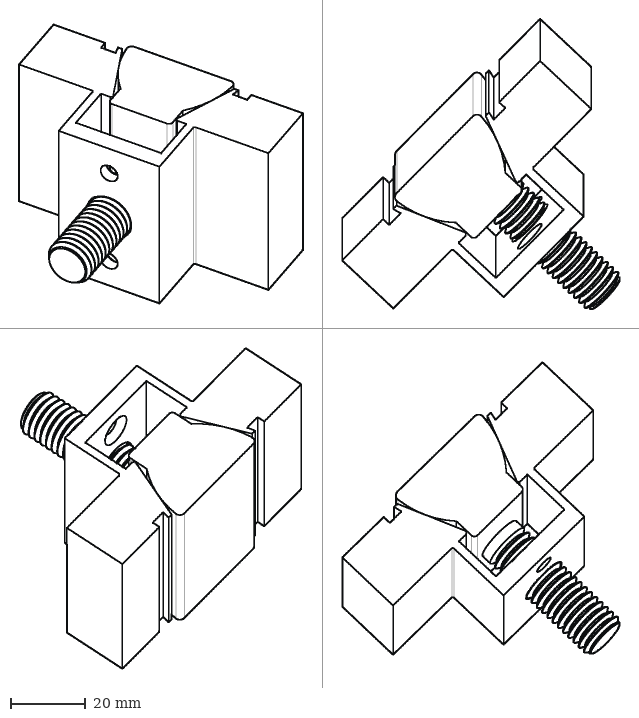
import cadquery as cq
import math


width = 76.2
height = 47.6
depth = 63.5

bracket_depth = 38.1
wing_depth = 19.05
channel_outer_width = 30.8
channel_inner_width = 26.05
plate_thickness = 5.2
jaw_mouth_width = 34.3
jaw_angle = 22.0
jaw_tip_bevel = 0.5
outer_corner_fillet = 0.45
slot_depth = 2.3
slot_outer_x = 22.3
slot_lip_x = 18.45
slot_undercut = 0.5
bore_diameter = 13.6
pin_hole_diameter = 5.2
pin_hole_spacing = 30.5
countersink_depth = 2.0

wedge_projection = 2.4
wedge_length = 23.8
neck_width = 19.05
flank_radius = 26.7
contact_depth = 6.85
head_fillet = 1.5
neck_fillet = 1.15

crest_diameter = 13.0
root_diameter = 10.2
shank_length = 2.8
thread_count = 19
crest_flat = 0.2
root_flat = 0.1
tip_diameter = 11.6
tip_face_diameter = 11.0
tip_bevel = 0.3
tip_gap = 1.6

wing_face_y = bracket_depth - wing_depth
wedge_back_y = bracket_depth + wedge_projection
wedge_front_y = wedge_back_y - wedge_length
bolt_tip_y = wedge_back_y - depth
jaw_slope = math.tan(math.radians(jaw_angle))


def jaw_half_width(y):
    """Distance from the centre plane to the jaw face at position y."""
    return jaw_mouth_width / 2 - (bracket_depth - y) * jaw_slope


def extrude_along_z(outline):
    """Extrude an XY outline over the full height, centred on Z = 0."""
    return outline.extrude(height / 2, both=True)


def mirrored_outline(half_points):
    """Close a right-half outline with its mirror image about X = 0."""
    left_points = [(-x, y) for x, y in reversed(half_points)]
    return cq.Workplane("XY").polyline(half_points + left_points).close()


def make_bracket():
    wall_outer_x = channel_outer_width / 2
    wall_inner_x = channel_inner_width / 2
    bevel_y = wing_face_y + jaw_tip_bevel
    tip_x = jaw_half_width(bevel_y)
    right_half = [
        (wall_outer_x, 0),
        (wall_outer_x, wing_face_y),
        (width / 2, wing_face_y),
        (width / 2, bracket_depth),
        (slot_outer_x, bracket_depth),
        (slot_outer_x, bracket_depth - slot_depth),
        (slot_lip_x - slot_undercut, bracket_depth - slot_depth),
        (slot_lip_x, bracket_depth),
        (jaw_mouth_width / 2, bracket_depth),
        (tip_x, bevel_y),
        (tip_x + jaw_tip_bevel, wing_face_y),
        (wall_inner_x, wing_face_y),
        (wall_inner_x, plate_thickness),
    ]
    bracket = extrude_along_z(mirrored_outline(right_half))

    for x in (-wall_outer_x, wall_outer_x):
        corner = cq.selectors.NearestToPointSelector((x, wing_face_y, 0))
        bracket = bracket.edges("|Z").edges(corner).fillet(outer_corner_fillet)

    bore = cq.Workplane("XZ").circle(bore_diameter / 2).extrude(-plate_thickness)
    bracket = bracket.cut(bore)

    for z in (-pin_hole_spacing / 2, pin_hole_spacing / 2):
        bracket = bracket.cut(make_pin_hole_cutter(z))
    return bracket


def make_pin_hole_cutter(z):
    """Countersunk hole along Y at X = 0 and height z."""
    hole_radius = pin_hole_diameter / 2
    countersink_y = plate_thickness - countersink_depth
    return (
        cq.Workplane("XY", origin=(0, 0, z))
        .polyline([
            (0, 0),
            (hole_radius, 0),
            (hole_radius, countersink_y),
            (hole_radius + countersink_depth, plate_thickness),
            (0, plate_thickness),
        ])
        .close()
        .revolve(360, (0, 0, 0), (0, 1, 0))
    )


def make_wedge():
    contact_y = bracket_depth - contact_depth
    contact_x = jaw_half_width(contact_y)
    centre_x = contact_x - flank_radius * math.cos(math.radians(jaw_angle))
    centre_y = contact_y + flank_radius * math.sin(math.radians(jaw_angle))

    neck_x = neck_width / 2
    neck_top_y = centre_y - math.sqrt(flank_radius**2 - (neck_x - centre_x) ** 2)
    head_x = centre_x + math.sqrt(flank_radius**2 - (wedge_back_y - centre_y) ** 2)

    outline = (
        cq.Workplane("XY")
        .moveTo(-neck_x, wedge_front_y)
        .lineTo(neck_x, wedge_front_y)
        .lineTo(neck_x, neck_top_y)
        .threePointArc((contact_x, contact_y), (head_x, wedge_back_y))
        .lineTo(-head_x, wedge_back_y)
        .threePointArc((-contact_x, contact_y), (-neck_x, neck_top_y))
        .close()
    )
    wedge = extrude_along_z(outline)
    wedge = wedge.faces(">Y").edges("|Z").fillet(head_fillet)
    return wedge.faces("<Y").edges("|Z").fillet(neck_fillet)


def make_bolt():
    crest_radius = crest_diameter / 2
    root_radius = root_diameter / 2
    first_crest_y = wedge_front_y - shank_length
    pitch = (first_crest_y - bolt_tip_y - tip_gap) / (thread_count - 1)

    profile = [(0, wedge_front_y), (crest_radius, wedge_front_y)]
    for i in range(thread_count):
        crest_y = first_crest_y - i * pitch
        root_y = crest_y - pitch / 2
        if i > 0:
            profile.append((crest_radius, crest_y + crest_flat / 2))
        profile.append((crest_radius, crest_y - crest_flat / 2))
        profile.append((root_radius, root_y + root_flat / 2))
        if i < thread_count - 1:
            profile.append((root_radius, root_y - root_flat / 2))
    profile += [
        (tip_diameter / 2, bolt_tip_y + tip_bevel),
        (tip_face_diameter / 2, bolt_tip_y),
        (0, bolt_tip_y),
    ]
    return cq.Workplane("XY").polyline(profile).close().revolve(360, (0, 0, 0), (0, 1, 0))


bracket = make_bracket()
wedge = make_wedge()
bolt = make_bolt()

result = cq.Compound.makeCompound([bracket.val(), wedge.val(), bolt.val()])